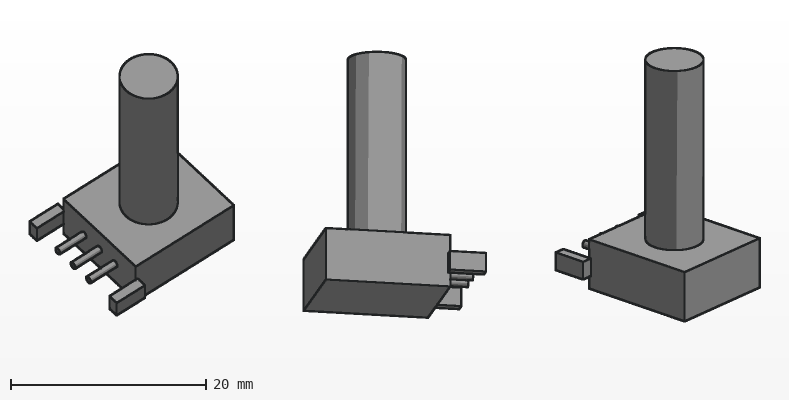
import cadquery as cq

total_height = 25.5
total_width = 14.12
total_depth = 16.5

body_width = 11.73
body_depth = 13.0
body_height = 5.5
front_face_y = -body_depth / 2

shaft_diameter = 6.0
shaft_length = total_height - body_height

pin_diameter = 0.8
pin_pitch = 2.5
pin_count = 3
pin_height = 2.9
pin_length = total_depth - body_depth

tab_width = (total_width - body_width) / 2
tab_height = 2.0
tab_bottom = 1.45
tab_overlap = 0.25
tab_length = pin_length + tab_overlap


def make_body():
    return cq.Workplane("XY").box(body_width, body_depth, body_height, centered=(True, True, False))


def make_shaft():
    return cq.Workplane("XY").workplane(offset=body_height).circle(shaft_diameter / 2).extrude(shaft_length)


def make_pin(x):
    """Round pin pointing toward -Y from the front face."""
    return (
        cq.Workplane("XZ", origin=(x, front_face_y, pin_height))
        .circle(pin_diameter / 2)
        .extrude(pin_length)
    )


def make_tab(side):
    """Rectangular tab beside the housing; side is -1 for -X or 1 for +X."""
    center_x = side * (body_width + tab_width) / 2
    center_y = front_face_y + tab_overlap - tab_length / 2
    return (
        cq.Workplane("XY", origin=(center_x, center_y, tab_bottom))
        .box(tab_width, tab_length, tab_height, centered=(True, True, False))
    )


result = make_body().union(make_shaft())
for index in range(pin_count):
    pin_x = (index - (pin_count - 1) / 2) * pin_pitch
    result = result.union(make_pin(pin_x))
for side in (-1, 1):
    result = result.union(make_tab(side))